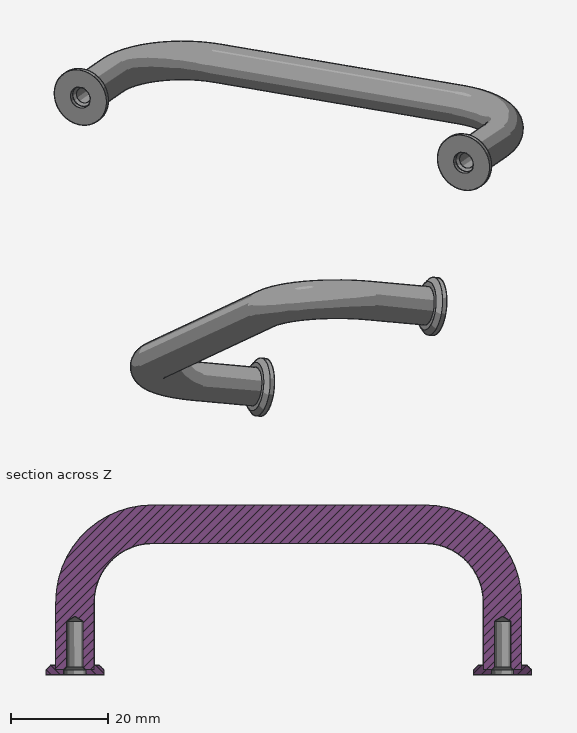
import cadquery as cq

overall_length = 100.0
overall_height = 35.0

foot_diameter = 12.0
foot_thickness = 2.0
foot_chamfer = 1.0
foot_bore_diameter = 4.5
foot_recess_depth = 1.0

bar_diameter = 8.0
bend_radius = 16.0

screw_hole_diameter = 3.3
screw_hole_depth = 10.0
screw_hole_mouth_diameter = 4.4
drill_tip_depth = 1.0

bar_end_y = foot_thickness - foot_recess_depth
leg_offset = (overall_length - foot_diameter) / 2
grip_axis_y = overall_height - bar_diameter / 2
bend_start_y = grip_axis_y - bend_radius
grip_half_length = leg_offset - bend_radius


def make_screw_hole(x):
    """Countersunk blind hole with a conical tip, starting at the bar end."""
    hole_radius = screw_hole_diameter / 2
    mouth_radius = screw_hole_mouth_diameter / 2
    hole_end_y = bar_end_y + screw_hole_depth
    countersink_end_y = bar_end_y + mouth_radius - hole_radius
    return (
        cq.Workplane("XY")
        .moveTo(0, bar_end_y)
        .lineTo(mouth_radius, bar_end_y)
        .lineTo(hole_radius, countersink_end_y)
        .lineTo(hole_radius, hole_end_y)
        .lineTo(0, hole_end_y + drill_tip_depth)
        .close()
        .revolve(360, (0, 0, 0), (0, 1, 0))
        .translate((x, 0, 0))
    )


def make_bar():
    """Round bar bent into a U, with a screw hole in each end."""
    path = (
        cq.Workplane("XY")
        .moveTo(-leg_offset, bar_end_y)
        .lineTo(-leg_offset, bend_start_y)
        .radiusArc((-grip_half_length, grip_axis_y), bend_radius)
        .lineTo(grip_half_length, grip_axis_y)
        .radiusArc((leg_offset, bend_start_y), bend_radius)
        .lineTo(leg_offset, bar_end_y)
    )
    bar = (
        cq.Workplane("XZ", origin=(-leg_offset, bar_end_y, 0))
        .circle(bar_diameter / 2)
        .sweep(path)
    )
    for x in (-leg_offset, leg_offset):
        bar = bar.cut(make_screw_hole(x))
    return bar


def make_foot(x):
    """Round foot with a recess that takes the bar end and a bore through the middle."""
    return (
        cq.Workplane("XZ", origin=(x, foot_thickness, 0))
        .circle(foot_diameter / 2)
        .extrude(foot_thickness)
        .faces(">Y")
        .edges()
        .chamfer(foot_chamfer)
        .faces(">Y")
        .workplane(origin=(x, foot_thickness, 0))
        .cboreHole(foot_bore_diameter, bar_diameter, foot_recess_depth)
    )


bar = make_bar()
feet = [make_foot(x) for x in (-leg_offset, leg_offset)]

result = cq.Compound.makeCompound([bar.val(), *[foot.val() for foot in feet]])